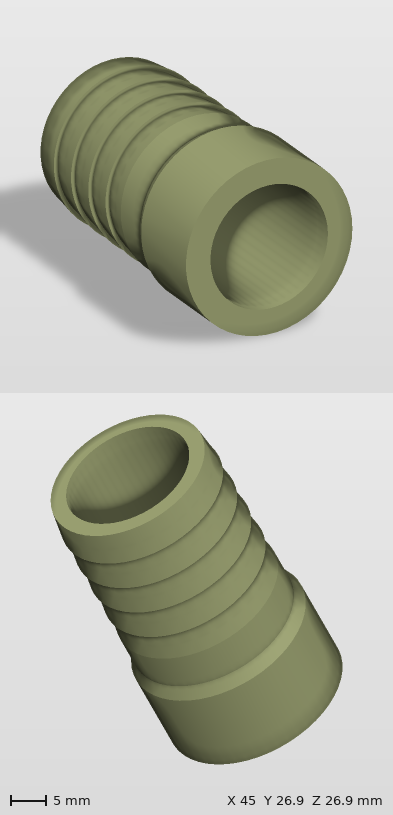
import cadquery as cq

length = 45.0
pipe_radius = 13.45
barb_radius = 12.5
root_radius = 11.9
bore_radius = 9.5

barb_count = 4
barb_pitch = 5.0
land_start = 24.4
shoulder_start = 30.0
shoulder_end = 32.0


def outer_profile():
    """Half section from the axis outward, bounded by the barbed outer surface."""
    profile = cq.Workplane("XY").lineTo(0, root_radius)
    for barb in range(1, barb_count + 1):
        barb_end = barb * barb_pitch
        profile = profile.lineTo(barb_end, barb_radius).lineTo(barb_end, root_radius)
    return (
        profile.lineTo(land_start, barb_radius)
        .lineTo(shoulder_start, barb_radius)
        .lineTo(shoulder_end, pipe_radius)
        .lineTo(length, pipe_radius)
        .lineTo(length, 0)
        .close()
    )


body = outer_profile().revolve(360, (0, 0, 0), (1, 0, 0))
bore = cq.Workplane("YZ").circle(bore_radius).extrude(length)
result = body.cut(bore)